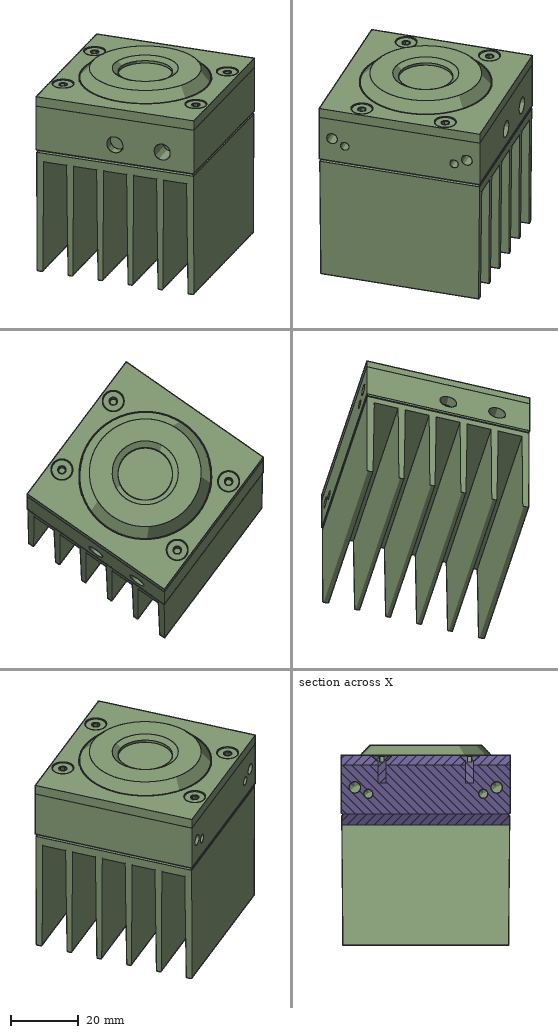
import cadquery as cq
import math

total_height = 59.25
block_side = 50.0

dome_rise = 2.95
plate_thickness = 3.0
block_height = 14.4
plate_top = total_height - dome_rise
plate_bottom = plate_top - plate_thickness
block_bottom = plate_bottom - block_height
block_edge_chamfer = 0.35

dome_top_radius = 16.5
dome_base_radius = 19.35
opening_radius = 19.65
recess_top_radius = 9.8
recess_floor_radius = 8.05
recess_cone_depth = 1.05
recess_depth = 1.85

port_radius = 2.55
port_drop = 14.6
centre_port_depth = 2.95
side_port_x = 15.0
side_port_depth = 7.1

drill_tip_angle = 118.0
drill_depth = 8.0
large_drill_radius = 1.65
large_drill_y = 20.95
large_drill_drop = 12.5
small_drill_radius = 1.3
small_drill_y = 17.0
small_drill_drop = 14.4

screw_x = 21.0
screw_y = 13.0
countersink_radius = 3.25
head_drop = 0.25
head_radius = countersink_radius - head_drop
shank_radius = 1.5
screw_length = 8.0
socket_across_corners = 2.35
socket_depth = 1.8
socket_entry_radius = 1.25

sink_side = 49.7
sink_edge_chamfer = 0.55
base_bottom = 35.6
fin_count = 6
fin_root_width = 2.2
fin_pitch = (sink_side - fin_root_width) / (fin_count - 1)
fin_tip_fillet = 0.5
draft_angle = 0.5
fin_taper = base_bottom * math.tan(math.radians(draft_angle))

screw_points = [(x, y) for x in (-screw_x, screw_x) for y in (-screw_y, screw_y)]


def make_turned(profile):
    """Revolve an outline of (radius, z) points about the Z axis."""
    return cq.Workplane("XZ").polyline(profile).close().revolve(360, (0, 0, 0), (0, 1, 0))


def make_screw_envelope():
    """Countersunk head and shank without the socket, centred on the Z axis."""
    head_top = plate_top - head_drop
    cone_bottom = head_top - (head_radius - shank_radius)
    shank_bottom = head_top - screw_length
    return make_turned([
        (0, head_top),
        (head_radius, head_top),
        (shank_radius, cone_bottom),
        (shank_radius, shank_bottom),
        (0, shank_bottom),
    ])


def make_screw(point):
    """One screw with a hexagonal socket whose mouth is countersunk."""
    head_top = plate_top - head_drop
    socket = (
        cq.Workplane("XY", origin=(0, 0, head_top - socket_depth))
        .transformed(rotate=(0, 0, 90))
        .polygon(6, socket_across_corners)
        .extrude(socket_depth)
    )
    socket_entry = make_turned([
        (0, head_top),
        (socket_entry_radius, head_top),
        (0, head_top - socket_entry_radius),
    ])
    screw = make_screw_envelope().cut(socket).cut(socket_entry)
    return screw.translate((*point, 0))


def make_screw_hole(point):
    """Room for one screw, its countersink open to the top of the plate."""
    countersink = make_turned([
        (0, plate_top),
        (countersink_radius, plate_top),
        (head_radius, plate_top - head_drop),
        (0, plate_top - head_drop),
    ])
    return make_screw_envelope().union(countersink).translate((*point, 0))


def make_cover_plate():
    """Square plate around the dome, with the four screw holes."""
    plate = (
        cq.Workplane("XY", origin=(0, 0, plate_bottom))
        .rect(block_side, block_side)
        .circle(opening_radius)
        .extrude(plate_thickness)
    )
    for point in screw_points:
        plate = plate.cut(make_screw_hole(point))
    return plate


def make_dome():
    """Conical dome with a stepped recess in its top."""
    return make_turned([
        (0, total_height - recess_depth),
        (recess_floor_radius, total_height - recess_depth),
        (recess_floor_radius, total_height - recess_cone_depth),
        (recess_top_radius, total_height),
        (dome_top_radius, total_height),
        (dome_base_radius, plate_top),
        (dome_base_radius, plate_bottom),
        (0, plate_bottom),
    ])


def make_port(x, depth):
    """Flat-bottomed hole going in from the front face."""
    return (
        cq.Workplane("XZ", origin=(x, -block_side / 2, total_height - port_drop))
        .circle(port_radius)
        .extrude(-depth)
    )


def make_drilled_hole(y, drop, radius):
    """Blind hole along X with a conical end."""
    tip_length = radius / math.tan(math.radians(drill_tip_angle / 2))
    profile = [(0, 0), (0, radius), (drill_depth, radius), (drill_depth + tip_length, 0)]
    return (
        cq.Workplane("XY")
        .polyline(profile)
        .close()
        .revolve(360, (0, 0, 0), (1, 0, 0))
        .translate((-block_side / 2, y, total_height - drop))
    )


def make_block():
    """Block with the dome on top, its ports, drilled holes and screw holes."""
    body = (
        cq.Workplane("XY", origin=(0, 0, block_bottom))
        .rect(block_side, block_side)
        .extrude(block_height)
        .faces("<Z").edges().chamfer(block_edge_chamfer)
    )
    block = body.union(make_dome())
    block = block.cut(make_port(0, centre_port_depth)).cut(make_port(side_port_x, side_port_depth))
    for side in (-1, 1):
        block = block.cut(make_drilled_hole(side * large_drill_y, large_drill_drop, large_drill_radius))
        block = block.cut(make_drilled_hole(side * small_drill_y, small_drill_drop, small_drill_radius))
    for point in screw_points:
        block = block.cut(make_screw_hole(point))
    return block


def make_fin(index):
    """One fin, narrowing from the base to a rounded tip."""
    root_x = (index - (fin_count - 1) / 2) * fin_pitch
    left_taper = 0 if index == 0 else fin_taper
    right_taper = 0 if index == fin_count - 1 else fin_taper
    tip_x = root_x + (left_taper - right_taper) / 2
    tip_width = fin_root_width - left_taper - right_taper
    return (
        cq.Workplane("XY")
        .center(tip_x, 0)
        .rect(tip_width, sink_side - 2 * fin_taper)
        .workplane(offset=base_bottom)
        .center(root_x - tip_x, 0)
        .rect(fin_root_width, sink_side)
        .loft(ruled=True)
        .faces("<Z").edges("|Y").fillet(fin_tip_fillet)
    )


def make_heat_sink():
    """Base plate with its row of fins."""
    sink = (
        cq.Workplane("XY", origin=(0, 0, base_bottom))
        .rect(sink_side, sink_side)
        .extrude(block_bottom - base_bottom)
        .faces(">Z").edges().chamfer(sink_edge_chamfer)
    )
    for index in range(fin_count):
        sink = sink.union(make_fin(index))
    return sink


cover_plate = make_cover_plate()
block = make_block()
heat_sink = make_heat_sink()
screws = [make_screw(point).val() for point in screw_points]

result = cq.Compound.makeCompound([cover_plate.val(), block.val(), heat_sink.val(), *screws])